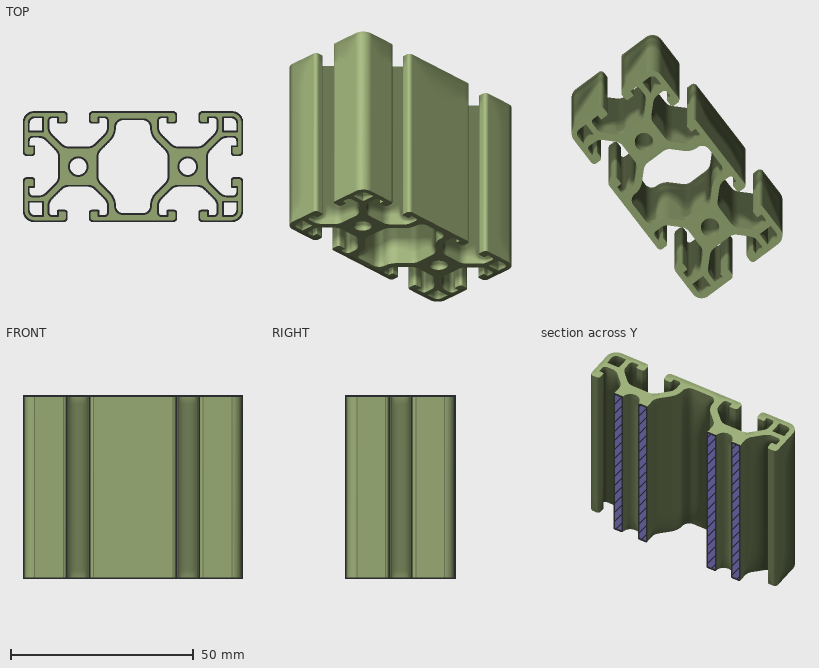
import cadquery as cq
import math

module = 30.0
width = 2 * module
length = 50.0
outer_radius = 3.0
cell_centers = [(-module / 2, 0), (module / 2, 0)]

bore_diameter = 5.05
core_half = 5.3
arm_offset = 1.45
core_radius = 3.0
arm_thickness = arm_offset * math.sqrt(2)

skin = 1.5
lip_depth = 3.0
lip_width = 2.5
opening_width = 6.2
opening_half = opening_width / 2
slot_width = 16.25
slot_half = slot_width / 2
lip_outer_radius = 1.0
lip_inner_radius = 0.8
lip_back_radius = 0.3
slot_corner_radius = 0.95
slot_bend_radius = 3.0
face_clearance = 0.6

corner_web = 1.55
corner_hollow_side = module / 2 - skin - slot_half - corner_web
corner_hollow_radius = outer_radius - skin

cavity_web = 2.0
cavity_skin = 2.05
cavity_corner_radius = 2.15
cavity_bend_radius = slot_bend_radius + arm_thickness


def rounded_prism(corners):
    """Extrude a closed polygon given as (x, y, corner radius)."""
    ends = []
    count = len(corners)
    for i, (x, y, radius) in enumerate(corners):
        before = cq.Vector(*corners[i - 1][:2])
        after = cq.Vector(*corners[(i + 1) % count][:2])
        corner = cq.Vector(x, y)
        to_before = (before - corner).normalized()
        to_after = (after - corner).normalized()
        half_angle = to_before.getAngle(to_after) / 2
        setback = radius / math.tan(half_angle)
        bisector = (to_before + to_after).normalized()
        middle = corner + bisector * (radius / math.sin(half_angle) - radius)
        ends.append((corner + to_before * setback, middle, corner + to_after * setback, radius))

    outline = cq.Workplane("XY").moveTo(*ends[0][2].toTuple()[:2])
    for start, middle, end, radius in ends[1:] + ends[:1]:
        outline = outline.lineTo(start.x, start.y)
        if radius > 0:
            outline = outline.threePointArc((middle.x, middle.y), (end.x, end.y))
    return outline.wire().extrude(length)


def mirrored_left(right_half):
    """Close a half outline with its reflection about the Y axis."""
    return right_half + [(-x, y, radius) for x, y, radius in reversed(right_half)]


def t_slot():
    """Slot cutter for one cell centred on the origin, opening toward +Y."""
    face = module / 2
    lip_back = opening_half + lip_width
    right_half = [
        (lip_back, face + face_clearance, 0),
        (lip_back, face, 0),
        (opening_half, face, lip_outer_radius),
        (opening_half, face - lip_depth, lip_inner_radius),
        (lip_back, face - lip_depth, lip_back_radius),
        (lip_back, face - skin, 0),
        (slot_half, face - skin, slot_corner_radius),
        (slot_half, slot_half + arm_offset, slot_bend_radius),
        (core_half - arm_offset, core_half, core_radius),
    ]
    return rounded_prism(mirrored_left(right_half))


def corner_hollow():
    """Square hollow in the +X +Y corner, rounded to follow the outer corner."""
    outer_x = width / 2 - skin
    outer_y = module / 2 - skin
    inner_x = outer_x - corner_hollow_side
    inner_y = outer_y - corner_hollow_side
    return rounded_prism([
        (inner_x, inner_y, 0),
        (outer_x, inner_y, 0),
        (outer_x, outer_y, corner_hollow_radius),
        (inner_x, outer_y, 0),
    ])


def central_cavity():
    core_x = module / 2 - core_half
    core_y = core_half - arm_offset
    wall_x = module / 2 - slot_half - cavity_web
    bend_y = module / 2 - wall_x - arm_offset
    top_y = module / 2 - cavity_skin
    upper_right = [
        (wall_x, top_y, cavity_corner_radius),
        (wall_x, bend_y, cavity_bend_radius),
        (core_x, core_y, core_radius),
    ]
    lower_right = [(x, -y, radius) for x, y, radius in reversed(upper_right)]
    return rounded_prism(mirrored_left(upper_right + lower_right))


result = cq.Workplane("XY").rect(width, module).extrude(length).edges("|Z").fillet(outer_radius)

slot = t_slot()
for center_x, center_y in cell_centers:
    end_angle = math.copysign(90, -center_x)
    for angle in (0, 180, end_angle):
        turned_slot = slot.rotate((0, 0, 0), (0, 0, 1), angle)
        result = result.cut(turned_slot.translate((center_x, center_y, 0)))

right_hollows = corner_hollow().union(corner_hollow().mirror("XZ"))
result = result.cut(right_hollows).cut(right_hollows.mirror("YZ"))

result = result.cut(central_cavity())

bores = cq.Workplane("XY").pushPoints(cell_centers).circle(bore_diameter / 2).extrude(length)
result = result.cut(bores)